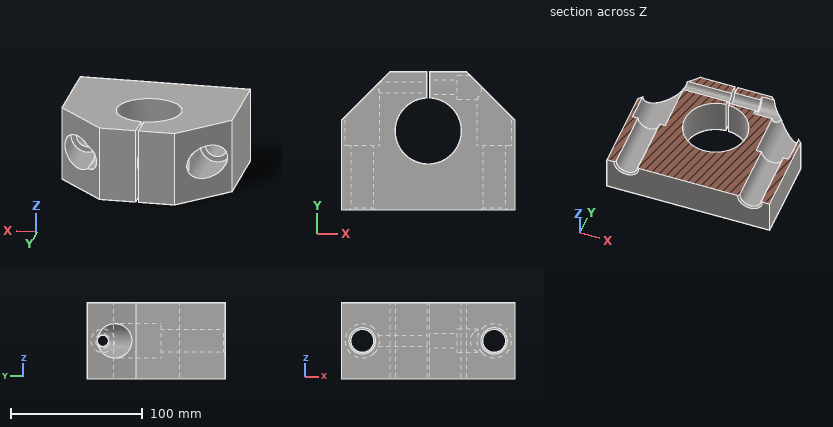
import cadquery as cq


width = 132.0
height = 105.0
thickness = 58.0
corner_cut = 37.0

bore_diameter = 50.0
bore_height = 60.0
slot_width = 2.0

mount_spacing = 100.0
mount_diameter = 17.29
mount_chamfer_diameter = 20.0
mount_counterbore_diameter = 26.0
mount_seat_height = 49.0

clamp_screw_height = 93.0
clamp_tap_diameter = 8.38
clamp_clearance_diameter = 11.0
clamp_counterbore_diameter = 18.0
clamp_head_height = 10.0

slope_sum = width / 2 + height - corner_cut

clamp_seat_x = (
    slope_sum - clamp_screw_height - clamp_counterbore_diameter / 2 - clamp_head_height
)


def make_block():
    """Block with both upper corners cut off at 45 degrees."""
    return (
        cq.Workplane("XY")
        .box(width, height, thickness, centered=(True, False, True))
        .edges("|Z and >Y")
        .chamfer(corner_cut)
    )


def make_bore_and_slot():
    """Shaft bore with the slot that opens it to the top of the block."""
    bore = (
        cq.Workplane("XY")
        .center(0, bore_height)
        .circle(bore_diameter / 2)
        .extrude(thickness / 2, both=True)
    )
    slot = (
        cq.Workplane("XY")
        .box(slot_width, height - bore_height, thickness, centered=(True, False, True))
        .translate((0, bore_height, 0))
    )
    return bore.union(slot)


def make_mount_hole(x):
    """Through hole with a 45 degree lead-in at the base and a counterbore at the slope."""
    hole_radius = mount_diameter / 2
    chamfer_radius = mount_chamfer_diameter / 2
    counterbore_radius = mount_counterbore_diameter / 2
    return (
        cq.Workplane("XY")
        .moveTo(0, 0)
        .lineTo(chamfer_radius, 0)
        .lineTo(hole_radius, chamfer_radius - hole_radius)
        .lineTo(hole_radius, mount_seat_height)
        .lineTo(counterbore_radius, mount_seat_height)
        .lineTo(counterbore_radius, height)
        .lineTo(0, height)
        .close()
        .revolve(360, (0, 0, 0), (0, 1, 0))
        .translate((x, 0, 0))
    )


def make_x_cylinder(diameter, start_x, end_x):
    """Cylinder along the clamp screw axis between two X positions."""
    return (
        cq.Workplane("YZ", origin=(start_x, clamp_screw_height, 0))
        .circle(diameter / 2)
        .extrude(end_x - start_x)
    )


def make_clamp_screw_hole():
    """Tapped hole on the -X jaw, clearance hole and head counterbore on the +X jaw."""
    tapped = make_x_cylinder(clamp_tap_diameter, -width / 2, 0)
    clearance = make_x_cylinder(clamp_clearance_diameter, 0, clamp_seat_x)
    counterbore = make_x_cylinder(clamp_counterbore_diameter, clamp_seat_x, width / 2)
    return tapped.union(clearance).union(counterbore)


result = make_block().cut(make_bore_and_slot())
for mount_x in (-mount_spacing / 2, mount_spacing / 2):
    result = result.cut(make_mount_hole(mount_x))
result = result.cut(make_clamp_screw_hole())